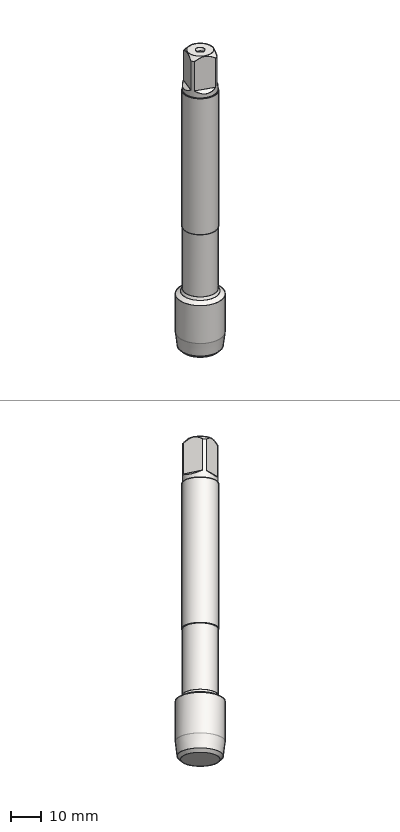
import cadquery as cq
import math

length = 110.0

head_radius = 16.2 / 2
head_height = 20.0
lead_height = 6.0
lead_radius = 7.5
tip_chamfer = 1.1

neck_radius = 11.7 / 2
shoulder_step_radius = 6.4
shoulder_step_z = 21.0
neck_start_z = 22.0

shank_radius = 12.0 / 2
shank_start_z = 44.9
shank_end_z = 95.4
end_radius = 11.5 / 2
shank_end_chamfer = shank_radius - end_radius
shank_start_chamfer = shank_radius - neck_radius

square_width = 9.0
square_start_z = 97.8
ramp_angle = 40.0
top_chamfer = 1.4

centre_hole_diameter = 2.0
centre_hole_depth = 2.0
countersink_diameter = 3.1
countersink_angle = 60.0
drill_point_angle = 120.0


def revolve_profile(points):
    """Turn a closed (radius, height) outline about the Z axis."""
    return cq.Workplane("XZ").polyline(points).close().revolve(360, (0, 0), (0, 1))


def make_cutting_head():
    return revolve_profile([
        (0, 0),
        (lead_radius - tip_chamfer, 0),
        (lead_radius, tip_chamfer),
        (head_radius, lead_height),
        (head_radius, head_height),
        (0, head_height),
    ])


def make_shank_blank():
    return revolve_profile([
        (0, head_height),
        (head_radius, head_height),
        (shoulder_step_radius, shoulder_step_z),
        (neck_radius, neck_start_z),
        (neck_radius, shank_start_z),
        (shank_radius, shank_start_z + shank_start_chamfer),
        (shank_radius, shank_end_z - shank_end_chamfer),
        (end_radius, shank_end_z),
        (end_radius, length - top_chamfer),
        (end_radius - top_chamfer, length),
        (0, length),
    ])


def make_flat_cutter():
    """Material beside one flat of the square, with a sloping floor."""
    flat = square_width / 2
    outside = 2 * end_radius
    ramp_drop = (end_radius - flat) * math.tan(math.radians(ramp_angle))
    return (
        cq.Workplane("XZ")
        .polyline([
            (flat, square_start_z),
            (end_radius, square_start_z - ramp_drop),
            (outside, square_start_z - ramp_drop),
            (outside, length),
            (flat, length),
        ])
        .close()
        .extrude(end_radius, both=True)
    )


def make_centre_hole():
    hole_radius = centre_hole_diameter / 2
    sink_radius = countersink_diameter / 2
    sink_depth = (sink_radius - hole_radius) / math.tan(math.radians(countersink_angle / 2))
    point_depth = hole_radius / math.tan(math.radians(drill_point_angle / 2))
    hole_bottom = length - centre_hole_depth
    return revolve_profile([
        (0, length),
        (sink_radius, length),
        (hole_radius, length - sink_depth),
        (hole_radius, hole_bottom),
        (0, hole_bottom - point_depth),
    ])


def make_shank():
    shank = make_shank_blank()
    for turn in range(4):
        shank = shank.cut(make_flat_cutter().rotate((0, 0, 0), (0, 0, 1), turn * 90))
    return shank.cut(make_centre_hole())


cutting_head = make_cutting_head()
shank = make_shank()

result = cq.Compound.makeCompound([cutting_head.val(), shank.val()])